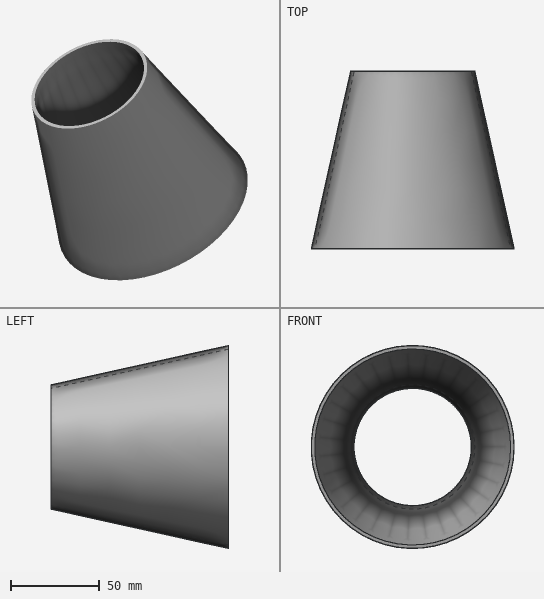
import cadquery as cq

length = 100.0
wide_outer_diameter = 114.3
narrow_outer_diameter = 70.0
bore_reduction = 4.0

wide_outer_radius = wide_outer_diameter / 2
narrow_outer_radius = narrow_outer_diameter / 2
wide_bore_radius = (wide_outer_diameter - bore_reduction) / 2
narrow_bore_radius = (narrow_outer_diameter - bore_reduction) / 2

wide_end_y = -length / 2
narrow_end_y = length / 2

wall_section = (
    cq.Workplane("XY")
    .moveTo(wide_bore_radius, wide_end_y)
    .lineTo(wide_outer_radius, wide_end_y)
    .lineTo(narrow_outer_radius, narrow_end_y)
    .lineTo(narrow_bore_radius, narrow_end_y)
    .close()
)

result = wall_section.revolve(360, (0, 0, 0), (0, 1, 0))